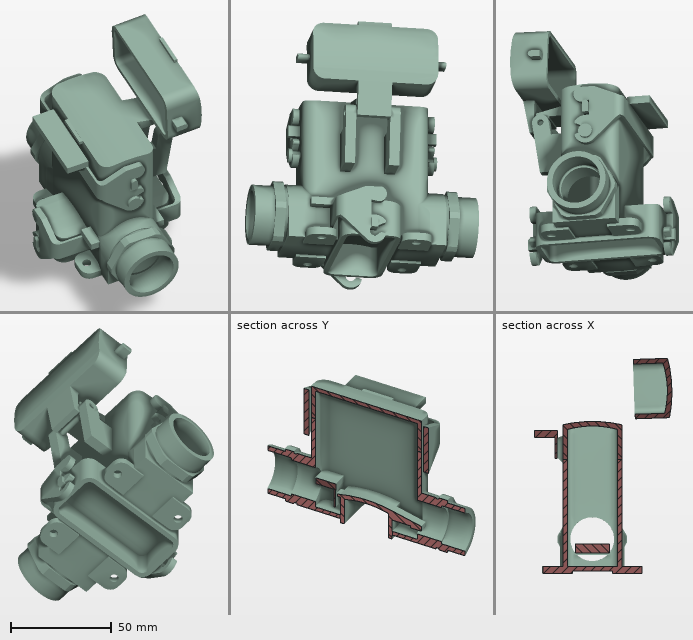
import cadquery as cq
import math

body_width = 63.2
body_depth = 29.8
corner_radius = 5.8
wall = 2.5
half_width = body_width / 2
half_depth = body_depth / 2

tower_height = 55.7
floor_thickness = 2.5

entry_axis_height = 15.8
entry_radius = 16.0
entry_end = 39.9
entry_bore = 21.8
flare_start = half_width - corner_radius

foot_width = 15.2
foot_inner_y = 9.8
foot_outer_y = 25.1
foot_bottom = -1.3
foot_top = 2.5
foot_radius = 5.1
foot_hole = 4.5
foot_hole_x = 23.9
foot_hole_y = 20.2

stud_height = 48.25
stud_neck = 4.9
stud_head = 7.0
stud_end = 37.45

hinge_y = 28.4
hinge_height = 62.45
hinge_radius = 4.2
hinge_hole = 3.2
hinge_pin_diameter = 3.0
hinge_pin_recess = 2.5
ear_inner = 8.6
ear_outer = 13.8
ear_bottom = 36.1
ear_foot_y = 28.6
ear_shoulder_y = 23.0

rim_height = 2.45
cover_side_height = 14.75
crown_height = 16.52
cover_peg_width = 3.2
cover_peg_height = 6.1
tab_width = 17.0
tab_length = 1.9
tab_top = 14.7
tab_thickness = 1.8
arm_tip_y = 31.7
arm_step_y = 25.2
arm_tip_top = 10.95
arm_underside = 9.0
arm_tip_bottom = 7.85
cover_open_angle = 88.1
closed_cover_z = tower_height + rim_height

lever_inner = 32.65
lever_thickness = 3.15
lever_outer = lever_inner + lever_thickness
bridge_front = 18.75
bridge_thickness = 1.25
bridge_bottom = 7.7
bridge_top = 18.1
bend_radius = 4.2
bend_inner_radius = 2.9
hook_radius = 5.95
hook_bore_radius = stud_neck / 2
lobe_top = 23.5
lobe_half_width = 4.1
slant_end = 17.0
slot_bottom = 8.6
slot_top = 16.4
handle_width = 40.2
handle_back = 17.35
handle_front = 29.0
handle_thickness = 3.8
lever_drop = 50.0
cross_lever_z = stud_height - lever_drop

gland_neck_diameter = 31.0
gland_neck_end = 41.35
gland_nut_end = 46.55
gland_nut_flats = 31.6
gland_nut_corner_diameter = 34.8
gland_tube_diameter = 30.0
gland_bore = 24.24
gland_bore_end = 43.0
gland_end = 56.5


def x_cylinder(diameter, start, end, y=0.0, z=0.0):
    """Cylinder along X from start to end."""
    plane = cq.Plane((start, y, z), (0, 1, 0), (1, 0, 0))
    return cq.Workplane(plane).circle(diameter / 2).extrude(end - start)


def side_plane(x):
    """Sketch plane at x whose local axes are Y and Z."""
    return cq.Workplane("YZ", origin=(x, 0, 0))


def rounded_block(width, depth, height, radius, bottom=0.0):
    """Block with rounded vertical edges, centred on the Z axis."""
    block = cq.Workplane("XY", origin=(0, 0, bottom)).rect(width, depth).extrude(height)
    return block.edges("|Z").fillet(radius)


def crowned_block(inset, bottom):
    """Rounded block under an arched top, shrunk by inset from the outside of the cover."""
    half = half_depth - inset
    arch = (
        side_plane(-half_width)
        .moveTo(-half, bottom)
        .lineTo(-half, cover_side_height - inset)
        .threePointArc((0, crown_height - inset), (half, cover_side_height - inset))
        .lineTo(half, bottom)
        .close()
        .extrude(body_width)
    )
    block = rounded_block(
        body_width - 2 * inset, 2 * half, crown_height - bottom, corner_radius - inset, bottom
    )
    return block.intersect(arch)


def make_cover_pegs():
    """Round-topped pegs on both X ends."""
    radius = cover_peg_width / 2
    profile = (
        side_plane(-stud_end)
        .moveTo(-radius, 0)
        .lineTo(-radius, cover_peg_height - radius)
        .threePointArc((0, cover_peg_height), (radius, cover_peg_height - radius))
        .lineTo(radius, 0)
        .close()
        .extrude(2 * stud_end)
    )
    between_pegs = cq.Workplane("XY").box(body_width, body_depth, 2 * crown_height)
    return profile.cut(between_pegs)


def make_cover():
    """Hollow cover with a tab on the -Y side, a hinge arm on the +Y side and end pegs."""
    cover = crowned_block(0, -rim_height)
    tab_depth = half_depth + tab_length
    tab = cq.Workplane("XY").box(tab_width, tab_depth, tab_thickness, centered=(True, False, False))
    cover = cover.union(tab.translate((0, -tab_depth, tab_top - tab_thickness)))
    hinge_arm = (
        side_plane(-tab_width / 2)
        .moveTo(0, cover_side_height)
        .lineTo(half_depth, cover_side_height)
        .lineTo(arm_tip_y, arm_tip_top)
        .lineTo(arm_tip_y, arm_tip_bottom)
        .lineTo(arm_step_y, arm_tip_bottom)
        .lineTo(arm_step_y, arm_underside)
        .lineTo(0, arm_underside)
        .close()
        .extrude(tab_width)
    )
    cover = cover.union(hinge_arm).cut(crowned_block(wall, -rim_height))
    return cover.union(make_cover_pegs())


def hook_point(radius, degrees):
    """Point at an angle on a circle about the hook centre."""
    angle = math.radians(degrees)
    return (radius * math.cos(angle), radius * math.sin(angle))


def make_lever_profile():
    """Side outline of the lever: finger lobe, peg slot, tooth and hook, with u towards the bridge."""
    slot_edge = cover_peg_width / 2
    hook_start = hook_point(hook_radius, -45)
    past_bridge = bridge_front + bridge_thickness
    outline = (
        cq.Workplane(cq.Plane((-lever_outer, 0, 0), (0, -1, 0), (-1, 0, 0)))
        .moveTo(-lobe_half_width, lobe_top)
        .lineTo(lobe_half_width, lobe_top)
        .lineTo(slant_end, bridge_top)
        .lineTo(past_bridge, bridge_top)
        .lineTo(past_bridge, bridge_bottom)
        .lineTo(slant_end, bridge_bottom)
        .lineTo(*hook_start)
        .threePointArc((0, -hook_radius), (-5.75, -1.5))
        .threePointArc((-4.9, -0.8), hook_point(hook_bore_radius, 215))
        .threePointArc(hook_point(hook_bore_radius, -45), hook_point(hook_bore_radius, 100))
        .lineTo(-4.9, 4.4)
        .threePointArc((-5.8, 5.1), (-5.6, 6.1))
        .threePointArc((-3.0, 8.0), (0, slot_bottom))
        .lineTo(slot_edge, slot_bottom)
        .lineTo(slot_edge, slot_top)
        .lineTo(-2.0, 15.8)
        .threePointArc((-4.0, 16.2), (-5.5, 17.6))
        .threePointArc((-6.1, 21.0), (-lobe_half_width, lobe_top))
        .close()
    )
    return outline.extrude(-2 * lever_outer)


def make_lever():
    """U-shaped lever: two hooked arms, a thin bridge on the -Y side and a grip above the bridge."""
    strip_height = 40.0
    strip_bottom = -10.0
    arm_back = 10.0
    outer_length = bridge_front + arm_back
    inner_length = outer_length - bridge_thickness
    placed = cq.Workplane("XY", origin=(0, arm_back, strip_bottom))
    outer = placed.move(0, -outer_length / 2).rect(2 * lever_outer, outer_length).extrude(strip_height)
    inner = placed.move(0, -inner_length / 2).rect(2 * lever_inner, inner_length).extrude(strip_height)
    outer = outer.edges("|Z and <Y").fillet(bend_radius)
    inner = inner.edges("|Z and <Y").fillet(bend_inner_radius)
    lever = outer.cut(inner).intersect(make_lever_profile())
    grip_length = handle_front - handle_back
    grip = cq.Workplane("XY", origin=(0, -handle_front, bridge_top)).box(
        handle_width, grip_length, handle_thickness, centered=(True, False, False)
    )
    return lever.union(grip)


def make_cable_entry():
    """Entry on the +X end: square below, round above, flared out from the tower corners."""
    length = entry_end
    lower = cq.Workplane("XY").box(
        length, 2 * entry_radius, entry_axis_height, centered=(False, True, False)
    )
    upper = x_cylinder(2 * entry_radius, 0, length, z=entry_axis_height)
    plan = (
        cq.Workplane("XY")
        .moveTo(flare_start, -half_depth)
        .lineTo(half_width, -entry_radius)
        .lineTo(length, -entry_radius)
        .lineTo(length, entry_radius)
        .lineTo(half_width, entry_radius)
        .lineTo(flare_start, half_depth)
        .close()
        .extrude(entry_axis_height + entry_radius)
    )
    return lower.union(upper).intersect(plan)


def make_foot():
    """Foot in the +X +Y corner."""
    length = foot_outer_y - foot_inner_y
    height = foot_top - foot_bottom
    foot = cq.Workplane("XY").box(foot_width, length, height, centered=False)
    foot = foot.translate((half_width - foot_width, foot_inner_y, foot_bottom))
    return foot.edges("|Z and >Y").fillet(foot_radius)


def make_foot_holes():
    """Screw holes through the four feet."""
    height = foot_top - foot_bottom
    return (
        cq.Workplane("XY", origin=(0, 0, foot_bottom))
        .rect(2 * foot_hole_x, 2 * foot_hole_y, forConstruction=True)
        .vertices()
        .circle(foot_hole / 2)
        .extrude(height)
    )


def tangent_point(from_y, from_z, side):
    """Where a line touches the hinge barrel; side is +1 for the +Y flank, -1 for the -Y flank."""
    dy = from_y - hinge_y
    dz = from_z - hinge_height
    direction = math.atan2(dz, dy)
    spread = math.acos(hinge_radius / math.hypot(dy, dz))
    angle = direction + side * spread
    return (hinge_y + hinge_radius * math.cos(angle), hinge_height + hinge_radius * math.sin(angle))


def make_hinge_ear():
    """Ear on the +X side, with a through hole for the hinge pin."""
    ear = (
        side_plane(ear_inner)
        .moveTo(half_depth - wall, ear_bottom)
        .lineTo(ear_foot_y, ear_bottom)
        .lineTo(*tangent_point(ear_foot_y, ear_bottom, 1))
        .threePointArc(
            (hinge_y, hinge_height + hinge_radius),
            tangent_point(ear_shoulder_y, tower_height, -1),
        )
        .lineTo(ear_shoulder_y, tower_height)
        .lineTo(half_depth - wall, tower_height)
        .close()
        .extrude(ear_outer - ear_inner)
    )
    hole = x_cylinder(hinge_hole, ear_inner, ear_outer, hinge_y, hinge_height)
    return ear.cut(hole)


def make_stud():
    """Headed stud on the +X end, which the lever hooks turn around."""
    neck = x_cylinder(stud_neck, half_width - wall, lever_outer, z=stud_height)
    head = x_cylinder(stud_head, lever_outer, stud_end, z=stud_height)
    return neck.union(head)


def mirrored_pair(shape):
    """The shape and its mirror image across X = 0."""
    return shape.union(shape.mirror("YZ"))


def make_gland():
    """Gland on the +X end: neck, nut with trimmed corners, and tube."""
    neck = x_cylinder(gland_neck_diameter, entry_end, gland_neck_end)
    nut_length = gland_nut_end - gland_neck_end
    hexagon = (
        cq.Workplane(cq.Plane((gland_neck_end, 0, 0), (0, 0, 1), (1, 0, 0)))
        .polygon(6, gland_nut_flats, circumscribed=True)
        .extrude(nut_length)
    )
    nut = hexagon.intersect(x_cylinder(gland_nut_corner_diameter, gland_neck_end, gland_nut_end))
    tube = x_cylinder(gland_tube_diameter, gland_nut_end, gland_end)
    gland = neck.union(nut).union(tube)
    gland = gland.cut(x_cylinder(gland_bore, gland_bore_end, gland_end))
    return gland.translate((0, 0, entry_axis_height))


def turn_about_z(shape):
    """Quarter turn that brings the -Y side round to +X."""
    return shape.rotate((0, 0, 0), (0, 0, 1), 90)


def make_housing(cross_cover):
    """Hollow tower with its feet, cable glands, hinge ears and studs, open for the cross cover."""
    housing = rounded_block(body_width, body_depth, tower_height, corner_radius)
    housing = housing.union(mirrored_pair(make_cable_entry()))
    foot_pair = mirrored_pair(make_foot())
    housing = housing.union(foot_pair).union(foot_pair.mirror("XZ")).cut(make_foot_holes())
    housing = housing.union(mirrored_pair(make_gland()))
    cavity = rounded_block(
        body_width - 2 * wall,
        body_depth - 2 * wall,
        tower_height - floor_thickness,
        corner_radius - wall,
        floor_thickness,
    )
    bore = x_cylinder(entry_bore, -gland_end, gland_end, z=entry_axis_height)
    housing = housing.cut(cavity).cut(bore)
    housing = housing.union(mirrored_pair(make_hinge_ear())).union(mirrored_pair(make_stud()))
    tunnel = turn_about_z(crowned_block(0, -rim_height))
    return housing.cut(tunnel).cut(cross_cover)


hinge_point = (0, hinge_y, hinge_height)
hinge_end = (1, hinge_y, hinge_height)
hinged_covers = []
for angle in (0, -cover_open_angle):
    cover = make_cover().translate((0, 0, closed_cover_z))
    hinged_covers.append(cover.rotate(hinge_point, hinge_end, angle))
cross_cover = turn_about_z(make_cover())

upper_lever = make_lever().translate((0, 0, stud_height))
cross_lever = turn_about_z(make_lever().translate((0, 0, cross_lever_z))).cut(cross_cover)

housing = make_housing(cross_cover).cut(cross_lever)

hinge_pin_end = ear_outer - hinge_pin_recess
hinge_pin = x_cylinder(hinge_pin_diameter, -hinge_pin_end, hinge_pin_end, hinge_y, hinge_height)

bodies = [housing, *hinged_covers, cross_cover, upper_lever, cross_lever, hinge_pin]
result = cq.Compound.makeCompound([body.solids().val() for body in bodies])